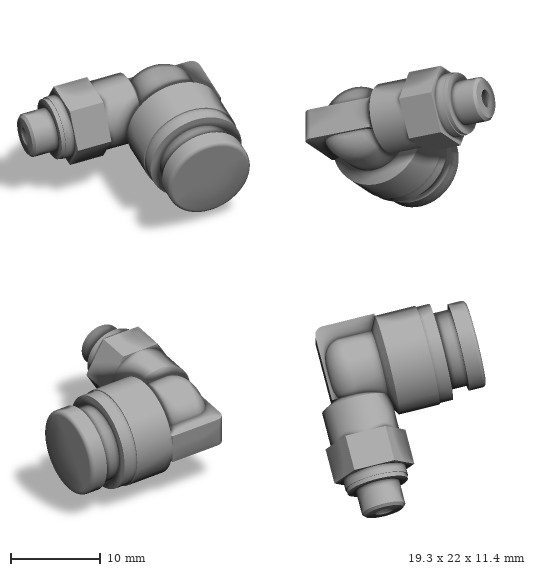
import cadquery as cq


overall_length = 22.0

elbow_radius = 4.3
dome_round = 2.29
sleeve_radius = 5.7
sleeve_cone_start = 3.6
sleeve_start = 4.42
sleeve_end = 9.1
ring_radius = 5.55
ring_end = 10.7
neck_radius = 4.4
neck_end = 12.7
cap_radius = 5.0
cap_end = 14.7
cap_round = 0.46

stem_top_radius = 2.65
stem_top = 2.84
stem_radius = 3.95
stem_start = 3.6
hex_across_corners = 9.25
hex_start = 7.72
hex_end = 11.8
collar_radius = 3.6
collar_end = 12.83
gasket_radius = 3.5
gasket_end = 13.29
thread_radius = 2.5
thread_chamfer = 0.3
thread_end = overall_length - sleeve_radius
bore_radius = 1.01

plate_thickness = 3.52
plate_left = -2.62
plate_corner_round = 1.01


def x_cylinder(radius, start, end):
    return cq.Workplane("YZ", origin=(start, 0, 0)).circle(radius).extrude(end - start)


def y_cylinder(radius, start, end):
    """Cylinder on the thread axis, between two distances along -Y."""
    return cq.Workplane("XZ", origin=(0, -start, 0)).circle(radius).extrude(end - start)


def tube_side():
    elbow = x_cylinder(elbow_radius, -dome_round, sleeve_start).faces("<X").edges().fillet(dome_round)
    sleeve_profile = [
        (sleeve_cone_start, 0),
        (sleeve_cone_start, elbow_radius),
        (sleeve_start, sleeve_radius),
        (sleeve_end, sleeve_radius),
        (sleeve_end, 0),
    ]
    sleeve = cq.Workplane("XY").polyline(sleeve_profile).close().revolve(360, (0, 0), (1, 0))
    ring = x_cylinder(ring_radius, sleeve_end, ring_end)
    neck = x_cylinder(neck_radius, ring_end, neck_end)
    cap = x_cylinder(cap_radius, neck_end, cap_end).faces(">X").edges().fillet(cap_round)
    return elbow.union(sleeve).union(ring).union(neck).union(cap)


def thread_side():
    stem_profile = [
        (0, -stem_top),
        (stem_top_radius, -stem_top),
        (stem_radius, -stem_start),
        (stem_radius, -hex_start),
        (0, -hex_start),
    ]
    stem = cq.Workplane("XY").polyline(stem_profile).close().revolve(360, (0, 0), (0, 1))
    hex_nut = (
        cq.Workplane("XZ", origin=(0, -hex_start, 0))
        .polygon(6, hex_across_corners)
        .extrude(hex_end - hex_start)
    )
    collar = y_cylinder(collar_radius, hex_end, collar_end)
    gasket = y_cylinder(gasket_radius, collar_end, gasket_end)
    thread = y_cylinder(thread_radius, gasket_end, thread_end).faces("<Y").edges().chamfer(thread_chamfer)
    return stem.union(hex_nut).union(collar).union(gasket).union(thread)


def corner_plate():
    width = sleeve_start - plate_left
    height = sleeve_radius + stem_top
    return (
        cq.Workplane("XY", origin=(plate_left, -stem_top, 0))
        .rect(width, height, centered=False)
        .extrude(plate_thickness / 2, both=True)
        .edges("|Z and <X and >Y")
        .fillet(plate_corner_round)
    )


bore = y_cylinder(bore_radius, 0, thread_end)

result = tube_side().union(thread_side()).union(corner_plate()).cut(bore)